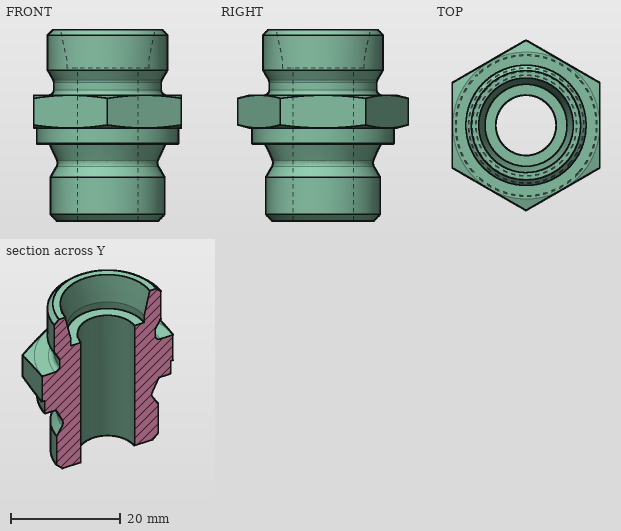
import cadquery as cq
import math

total_length = 35.0
collar_bottom = 14.0
hex_bottom = 17.0
hex_top = 23.0

hex_sides = 6
across_flats = 27.0
hex_land_diameter = 26.9
hex_chamfer_angle = 15.0

thread_run_out_angle = 30.0

tube_thread_radius = 22.0 / 2
tube_thread_bottom = 27.6
tube_thread_chamfer = 1.0
tube_neck_radius = 19.7 / 2
neck_fillet = 1.0
cone_mouth_radius = 17.3 / 2
cone_half_angle = 12.0
tube_socket_radius = 15.0 / 2
tube_socket_depth = 7.0

collar_radius = 26.0 / 2
collar_edge_chamfer = 0.2
stud_thread_radius = 20.95 / 2
stud_thread_top = 8.0
stud_thread_chamfer = 1.2
groove_top_radius = 10.6
groove_top_angle = 25.0
groove_fillet = 1.25

bore_radius = 11.0 / 2


def cone_rise(radius_change, angle_from_axis):
    """Axial length over which a cone changes its radius by the given amount."""
    return radius_change / math.tan(math.radians(angle_from_axis))


def revolve_profile(profile):
    """Turn a closed (radius, height) profile around the Z axis."""
    return profile.close().revolve(360, (0, 0, 0), (0, 1, 0))


def edges_at(body, radius, height):
    """Select the circular edge with the given radius and height."""
    margin = 0.01
    reach = radius + margin
    low_corner = (-reach, -reach, height - margin)
    high_corner = (reach, reach, height + margin)
    ring = cq.selectors.BoxSelector(low_corner, high_corner, boundingbox=True)
    return body.edges(ring)


def make_tube_end():
    """Threaded tube end with an undercut neck that flares into the hexagon."""
    run_out = cone_rise(tube_thread_radius - tube_neck_radius, thread_run_out_angle)
    neck_top = tube_thread_bottom - run_out
    top_radius = tube_thread_radius - tube_thread_chamfer
    flare_middle = neck_fillet * (1 - math.sqrt(0.5))
    profile = (
        cq.Workplane("XZ")
        .moveTo(0, hex_top)
        .lineTo(tube_neck_radius + neck_fillet, hex_top)
        .threePointArc(
            (tube_neck_radius + flare_middle, hex_top + flare_middle),
            (tube_neck_radius, hex_top + neck_fillet),
        )
        .lineTo(tube_neck_radius, neck_top)
        .lineTo(tube_thread_radius, tube_thread_bottom)
        .lineTo(tube_thread_radius, total_length - tube_thread_chamfer)
        .lineTo(top_radius, total_length)
        .lineTo(0, total_length)
    )
    body = revolve_profile(profile)
    return edges_at(body, tube_neck_radius, neck_top).fillet(neck_fillet)


def make_hexagon():
    """Hexagon with two corners on the Y axis, chamfered at both faces."""
    across_corners = across_flats / math.cos(math.pi / hex_sides)
    prism = (
        cq.Workplane("XY", origin=(0, 0, hex_bottom))
        .polygon(hex_sides, across_corners)
        .extrude(hex_top - hex_bottom)
        .rotate((0, 0, 0), (0, 0, 1), 180 / hex_sides)
    )
    corner_radius = across_corners / 2
    land_radius = hex_land_diameter / 2
    corner_drop = (corner_radius - land_radius) * math.tan(math.radians(hex_chamfer_angle))
    envelope = revolve_profile(
        cq.Workplane("XZ")
        .moveTo(0, hex_bottom)
        .lineTo(land_radius, hex_bottom)
        .lineTo(corner_radius, hex_bottom + corner_drop)
        .lineTo(corner_radius, hex_top - corner_drop)
        .lineTo(land_radius, hex_top)
        .lineTo(0, hex_top)
    )
    return prism.intersect(envelope)


def make_stud_end():
    """Sealing collar, rounded V groove and threaded stud."""
    upper_slope = math.tan(math.radians(groove_top_angle))
    lower_slope = math.tan(math.radians(thread_run_out_angle))
    radius_gap = groove_top_radius - stud_thread_radius
    groove_length = collar_bottom - stud_thread_top
    root_rise = (groove_length * upper_slope - radius_gap) / (upper_slope + lower_slope)
    root_height = stud_thread_top + root_rise
    root_radius = stud_thread_radius - root_rise * lower_slope
    profile = (
        cq.Workplane("XZ")
        .moveTo(0, 0)
        .lineTo(stud_thread_radius - stud_thread_chamfer, 0)
        .lineTo(stud_thread_radius, stud_thread_chamfer)
        .lineTo(stud_thread_radius, stud_thread_top)
        .lineTo(root_radius, root_height)
        .lineTo(groove_top_radius, collar_bottom)
        .lineTo(collar_radius - collar_edge_chamfer, collar_bottom)
        .lineTo(collar_radius, collar_bottom + collar_edge_chamfer)
        .lineTo(collar_radius, hex_bottom)
        .lineTo(0, hex_bottom)
    )
    body = revolve_profile(profile)
    return edges_at(body, root_radius, root_height).fillet(groove_fillet)


def make_passage():
    """Through bore, tube socket and the cone seat at its mouth."""
    socket_bottom = total_length - tube_socket_depth
    cone_bottom = total_length - cone_rise(cone_mouth_radius - tube_socket_radius, cone_half_angle)
    return revolve_profile(
        cq.Workplane("XZ")
        .moveTo(0, 0)
        .lineTo(bore_radius, 0)
        .lineTo(bore_radius, socket_bottom)
        .lineTo(tube_socket_radius, socket_bottom)
        .lineTo(tube_socket_radius, cone_bottom)
        .lineTo(cone_mouth_radius, total_length)
        .lineTo(0, total_length)
    )


outside = make_stud_end().union(make_hexagon()).union(make_tube_end())
result = outside.cut(make_passage())